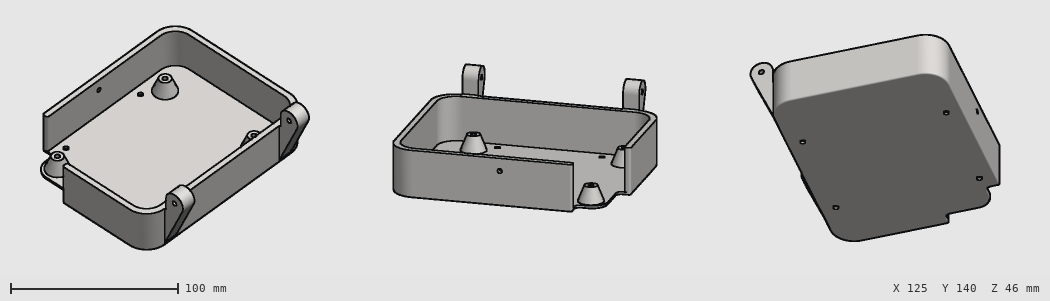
import cadquery as cq
import math

LENGTH_X = 110.0
LENGTH_Y = 140
HEIGHT = 30.0
WALL = 4.0
FLOOR = 2.0
CORNER_RADIUS = 15.0
CAVITY_RADIUS = 12.0
BOTTOM_RADIUS = 1.0

NOTCH_X = 40.0
NOTCH_Y = 25.0
TAB_X = 9.0
TAB_Y = 8.1
TAB_RADIUS = 10.0
TAB_BLEND_RADIUS = 3.0
WALL_END_RADIUS = 1.4
EDGE_REACH = 0.1

STANDOFF_BASE_DIAMETER = 16.0
STANDOFF_TOP_DIAMETER = 8.0
STANDOFF_HEIGHT = 10.0
STANDOFF_HOLE_DIAMETER = 3.2
STANDOFF_START = 18.5
STANDOFF_PITCH_X = 73.1
STANDOFF_PITCH_Y = 94.0

FLOOR_HOLE_DIAMETER = 3.2
FLOOR_HOLE_INSET_X = 10.0
FLOOR_HOLE_START_Y = 35
FLOOR_HOLE_PITCH_Y = 65.0
WALL_HOLE_DIAMETER = 2.8
WALL_HOLE_Z = 22.0

LUG_RADIUS = 7
LUG_WIDTH = 10.1
LUG_GAP = 1.0
LUG_TOP = 46.0
LUG_FOOT_Z = 2.0
LUG_HOLE_DIAMETER = 3.2


def make_tray():
    """Open box with rounded corners."""
    block = cq.Workplane("XY").box(LENGTH_X, LENGTH_Y, HEIGHT, centered=False)
    block = block.edges("|Z").fillet(CORNER_RADIUS)
    cavity = (
        cq.Workplane("XY", origin=(WALL, WALL, FLOOR))
        .box(LENGTH_X - 2 * WALL, LENGTH_Y - 2 * WALL, HEIGHT, centered=False)
        .edges("|Z")
        .fillet(CAVITY_RADIUS)
    )
    return block.cut(cavity)


def cut_notch(tray):
    """Open the corner, leaving a rounded tab of floor, and round the wall ends."""
    notch = cq.Workplane("XY").box(NOTCH_X, NOTCH_Y, HEIGHT, centered=False)
    tab = (
        cq.Workplane("XY")
        .moveTo(NOTCH_X, TAB_Y - TAB_BLEND_RADIUS)
        .radiusArc((NOTCH_X - TAB_BLEND_RADIUS, TAB_Y), -TAB_BLEND_RADIUS)
        .lineTo(TAB_X + TAB_RADIUS, TAB_Y)
        .radiusArc((TAB_X, TAB_Y + TAB_RADIUS), TAB_RADIUS)
        .lineTo(TAB_X, NOTCH_Y - TAB_BLEND_RADIUS)
        .radiusArc((TAB_X - TAB_BLEND_RADIUS, NOTCH_Y), -TAB_BLEND_RADIUS)
        .lineTo(NOTCH_X, NOTCH_Y)
        .close()
        .extrude(FLOOR)
    )
    opened = tray.cut(notch.cut(tab))
    for x, y in ((0, NOTCH_Y), (WALL, NOTCH_Y), (NOTCH_X, 0), (NOTCH_X, WALL)):
        wall_corner = cq.selectors.BoxSelector(
            (x - EDGE_REACH, y - EDGE_REACH, 0), (x + EDGE_REACH, y + EDGE_REACH, HEIGHT)
        )
        opened = opened.edges("|Z").edges(wall_corner).fillet(WALL_END_RADIUS)
    return opened


def make_standoff(x, y):
    """Cone with a blind hole down to the floor surface."""
    cone = cq.Solid.makeCone(
        STANDOFF_BASE_DIAMETER / 2, STANDOFF_TOP_DIAMETER / 2, STANDOFF_HEIGHT, cq.Vector(x, y, FLOOR)
    )
    hole = cq.Solid.makeCylinder(STANDOFF_HOLE_DIAMETER / 2, STANDOFF_HEIGHT, cq.Vector(x, y, FLOOR))
    return cone.cut(hole)


def make_lug(y):
    """Round-topped arm whose sloping side is tangent to its head, from y to y + LUG_WIDTH."""
    head_x = LENGTH_X + LUG_GAP + LUG_RADIUS
    head_z = LUG_TOP - LUG_RADIUS
    run = head_x - LENGTH_X
    rise = head_z - LUG_FOOT_Z
    foot_distance = math.hypot(run, rise)
    tangent_angle = math.atan2(-rise, -run) + math.acos(LUG_RADIUS / foot_distance)
    tangent_x = head_x + LUG_RADIUS * math.cos(tangent_angle)
    tangent_z = head_z + LUG_RADIUS * math.sin(tangent_angle)
    wall_middle_x = LENGTH_X - WALL / 2
    return (
        cq.Workplane("XZ", origin=(0, y + LUG_WIDTH, 0))
        .moveTo(wall_middle_x, LUG_FOOT_Z)
        .lineTo(LENGTH_X, LUG_FOOT_Z)
        .lineTo(tangent_x, tangent_z)
        .threePointArc((head_x, LUG_TOP), (head_x - LUG_RADIUS, head_z))
        .lineTo(head_x - LUG_RADIUS, HEIGHT)
        .lineTo(wall_middle_x, HEIGHT)
        .close()
        .moveTo(head_x, head_z)
        .circle(LUG_HOLE_DIAMETER / 2)
        .extrude(LUG_WIDTH)
    )


result = cut_notch(make_tray()).faces("<Z").edges().fillet(BOTTOM_RADIUS)

for standoff_x in (STANDOFF_START, STANDOFF_START + STANDOFF_PITCH_X):
    for standoff_y in (STANDOFF_START, STANDOFF_START + STANDOFF_PITCH_Y):
        result = result.union(cq.Workplane(make_standoff(standoff_x, standoff_y)))

for lug_y in (CORNER_RADIUS, LENGTH_Y - CORNER_RADIUS - LUG_WIDTH):
    result = result.union(make_lug(lug_y))

floor_holes = (
    cq.Workplane("XY")
    .pushPoints(
        [
            (x, y)
            for x in (FLOOR_HOLE_INSET_X, LENGTH_X - FLOOR_HOLE_INSET_X)
            for y in (FLOOR_HOLE_START_Y, FLOOR_HOLE_START_Y + FLOOR_HOLE_PITCH_Y)
        ]
    )
    .circle(FLOOR_HOLE_DIAMETER / 2)
    .extrude(FLOOR)
)
wall_hole = (
    cq.Workplane("YZ")
    .center(LENGTH_Y / 2, WALL_HOLE_Z)
    .circle(WALL_HOLE_DIAMETER / 2)
    .extrude(WALL)
)
result = result.cut(floor_holes).cut(wall_hole)